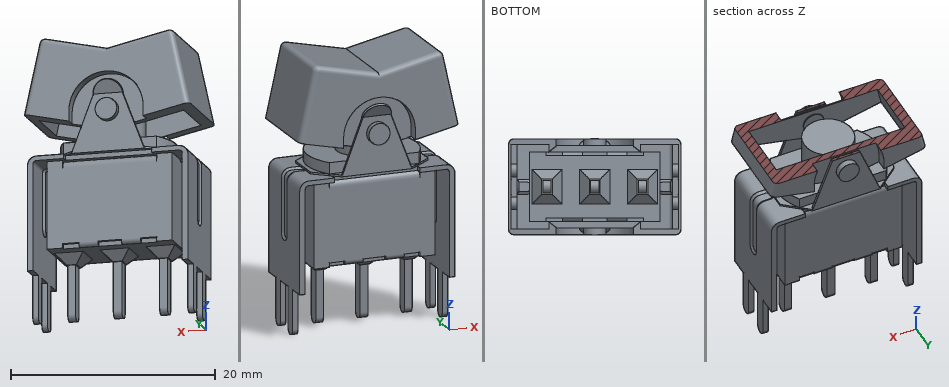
import cadquery as cq
import math


CAP_WIDTH = 9.38
CAP_TILT = math.radians(12.5)
CAP_BOTTOM_HALF = 8.435
CAP_BOTTOM_CENTER_Z = 2.28
CAP_TOP_Z = 11.72
CAP_ROUND = 0.55
CAP_WALL = 1.08
CAVITY_Y_MIN = -3.34
CAVITY_Y_MAX = 2.75
RECESS_RADIUS = 3.78
RECESS_FLOOR_Y = 3.54

PIVOT_Z = 4.13
PIVOT_DIAMETER = 2.2
NECK_DIAMETER = 5.2
NECK_TOP_Z = 5.0
NUT_RADIUS = 5.73
NUT_WIDTH = 6.52
NUT_TOP_Z = 1.34

PLATE_TOP_Z = 0.19
PLATE_HALF_LENGTH = 6.2
PLATE_END_HALF_WIDTH = 2.0
EAR_OUTER_Y = 4.05
EAR_THICKNESS = 0.26
EAR_FOOT_HALF = 3.7
EAR_BEND_HALF = 1.47
EAR_BEND_Z = 5.84
EAR_TIP_Z = 7.09
TAB_TIP_Y = 9.45 / 2
TAB_DIAMETER = 3.0

BRACKET_HALF_LENGTH = 8.17
BRACKET_WIDTH = 8.23
BRACKET_TOP_THICKNESS = 0.47
BRACKET_SIDE_THICKNESS = 0.58
BRACKET_BOTTOM_Z = -11.57
BEND_RADIUS = 0.95
NOTCH_HALF_LENGTH = 4.49
TAIL_PITCH = 3.2
TAIL_BOTTOM_Z = -16.33
BEAD_DEPTH = 0.2
BEAD_MOUTH_HALF = 0.73
BEAD_FLOOR_HALF = 0.45
BEAD_BOTTOM_Z = -6.43
BEAD_TOP_X = 6.6

BODY_HALF_LENGTH = 6.37
BODY_WIDTH = 6.8
BODY_BOTTOM_Z = -9.33
FRAME_HALF_LENGTH = 4.77
FRAME_ROUND = 0.75
CURL_INNER_X = 1.19
CURL_OUTER_X = 3.14
CURL_RADIUS = 0.45
FRAME_STEP_DEPTH = 0.35

PIN_PITCH = 4.67
PIN_WIDTH = 1.24
CENTER_PIN_THICKNESS = 0.87
END_PIN_THICKNESS = 0.8
PIN_BOTTOM_Z = -15.94
FOOT_LENGTH = 2.95
FOOT_WIDTH = 3.4
FOOT_HEIGHT = 1.02
FOOT_SLOPE = 43

OVERLAP = 0.3

BODY_TOP_Z = -BRACKET_TOP_THICKNESS
BODY_HALF_WIDTH = BODY_WIDTH / 2


def box(x_min, x_max, y_min, y_max, z_min, z_max):
    size = (x_max - x_min, y_max - y_min, z_max - z_min)
    return cq.Workplane("XY").box(*size, centered=False).translate((x_min, y_min, z_min))


def extrude_along_y(profile, y_min, y_max):
    """Extrude a closed XZ profile between two Y positions."""
    return profile.extrude(y_min - y_max).translate((0, y_min, 0))


def both_sides(shape, plane):
    return shape.union(shape.mirror(plane))


def centered_box(length, width, z_min, z_max):
    return box(-length / 2, length / 2, -width / 2, width / 2, z_min, z_max)


def cap_end_x(z, inset):
    """X of the leaning cap end at height z, moved inward by an inset."""
    return CAP_BOTTOM_HALF - inset - (z - cap_bottom_z(CAP_BOTTOM_HALF)) * math.tan(CAP_TILT)


def cap_bottom_z(x):
    return CAP_BOTTOM_CENTER_Z + x * math.tan(CAP_TILT)


def cap_profile(inset, corner_z):
    """Right half of the cap outline; the end is inset and its top corner is at corner_z."""
    bottom_half = CAP_BOTTOM_HALF - inset
    top_half = cap_end_x(corner_z, inset)
    points = [
        (0, CAP_BOTTOM_CENTER_Z),
        (bottom_half, cap_bottom_z(bottom_half)),
        (top_half, corner_z),
        (0, corner_z - top_half * math.tan(CAP_TILT)),
    ]
    return cq.Workplane("XZ").polyline(points).close()


def make_cap():
    corner_z = CAP_TOP_Z + CAP_ROUND * (math.cos(CAP_TILT) + math.sin(CAP_TILT) - 1)
    half = extrude_along_y(cap_profile(0, corner_z), -CAP_WIDTH / 2, CAP_WIDTH / 2)
    end_and_top_edges = cq.selectors.BoxSelector(
        (OVERLAP, -CAP_WIDTH, cap_bottom_z(CAP_BOTTOM_HALF) + OVERLAP),
        (CAP_BOTTOM_HALF, CAP_WIDTH, corner_z + OVERLAP),
    )
    half = half.edges(end_and_top_edges).fillet(CAP_ROUND)
    cavity = extrude_along_y(cap_profile(CAP_WALL, corner_z - CAP_WALL), CAVITY_Y_MIN, CAVITY_Y_MAX)
    cap = both_sides(half.cut(cavity), "YZ")
    return cap.cut(both_sides(cap_recess(), "XZ"))


def cap_recess():
    """Round-topped recess in the -Y side of the cap that clears an ear."""
    profile = (
        cq.Workplane("XZ")
        .moveTo(-RECESS_RADIUS, 0)
        .lineTo(-RECESS_RADIUS, PIVOT_Z)
        .threePointArc((0, PIVOT_Z + RECESS_RADIUS), (RECESS_RADIUS, PIVOT_Z))
        .lineTo(RECESS_RADIUS, 0)
        .close()
    )
    return extrude_along_y(profile, -CAP_WIDTH, -RECESS_FLOOR_Y)


def make_pivot_pin():
    """Pin from the recess floor through the -Y ear."""
    profile = cq.Workplane("XZ").center(0, PIVOT_Z).circle(PIVOT_DIAMETER / 2)
    return extrude_along_y(profile, -CAP_WIDTH / 2, -RECESS_FLOOR_Y + OVERLAP)


def make_neck_and_nut():
    neck = cq.Workplane("XY").circle(NECK_DIAMETER / 2).extrude(NECK_TOP_Z)
    nut = cq.Workplane("XY").circle(NUT_RADIUS).extrude(NUT_TOP_Z)
    nut = nut.intersect(centered_box(2 * NUT_RADIUS, NUT_WIDTH, 0, NUT_TOP_Z))
    return neck.union(nut)


def make_pivot_plate():
    """Thin plate under the nut; its corners are cut off from the ear feet to the ends."""
    points = [
        (PLATE_HALF_LENGTH, -PLATE_END_HALF_WIDTH),
        (PLATE_HALF_LENGTH, PLATE_END_HALF_WIDTH),
        (EAR_FOOT_HALF, EAR_OUTER_Y),
        (-EAR_FOOT_HALF, EAR_OUTER_Y),
        (-PLATE_HALF_LENGTH, PLATE_END_HALF_WIDTH),
        (-PLATE_HALF_LENGTH, -PLATE_END_HALF_WIDTH),
        (-EAR_FOOT_HALF, -EAR_OUTER_Y),
        (EAR_FOOT_HALF, -EAR_OUTER_Y),
    ]
    return cq.Workplane("XY").polyline(points).close().extrude(PLATE_TOP_Z)


def make_ear():
    """Tapered upright ear on the -Y side."""
    points = [
        (-EAR_FOOT_HALF, 0),
        (EAR_FOOT_HALF, 0),
        (EAR_BEND_HALF, EAR_BEND_Z),
        (-EAR_BEND_HALF, EAR_BEND_Z),
    ]
    profile = cq.Workplane("XZ").polyline(points).close()
    return extrude_along_y(profile, -EAR_OUTER_Y, -EAR_OUTER_Y + EAR_THICKNESS)


def make_ear_tab():
    """Round tab at the top of the ear, bent outward."""
    rise = EAR_TIP_Z - EAR_BEND_Z
    reach = TAB_TIP_Y - EAR_OUTER_Y
    length = math.hypot(rise, reach)
    radius = TAB_DIAMETER / 2
    tab_plane = cq.Plane(
        origin=(0, -EAR_OUTER_Y, EAR_BEND_Z),
        xDir=(1, 0, 0),
        normal=(0, -rise, -reach),
    )
    disc = cq.Workplane(tab_plane).center(0, length - radius).circle(radius).extrude(-EAR_THICKNESS)
    return disc.intersect(box(-radius, radius, -CAP_WIDTH, 0, EAR_BEND_Z - EAR_THICKNESS / 2, CAP_TOP_Z))


def bracket_shell():
    outer = centered_box(2 * BRACKET_HALF_LENGTH, BRACKET_WIDTH, BRACKET_BOTTOM_Z, 0)
    inner_length = 2 * (BRACKET_HALF_LENGTH - BRACKET_SIDE_THICKNESS)
    inner = centered_box(inner_length, BRACKET_WIDTH, BRACKET_BOTTOM_Z, -BRACKET_TOP_THICKNESS)
    outer = outer.edges("|Y and >Z").fillet(BEND_RADIUS)
    inner = inner.edges("|Y and >Z").fillet(BEND_RADIUS - BRACKET_SIDE_THICKNESS)
    shell = outer.cut(inner)
    notch = box(-NOTCH_HALF_LENGTH, NOTCH_HALF_LENGTH, -BRACKET_WIDTH, -BODY_HALF_WIDTH, BODY_TOP_Z, 0)
    return shell.cut(both_sides(notch, "XZ"))


def bead_cone(plane):
    """Tapered round end of the bead, sunk from the given plane."""
    mouth = cq.Workplane(plane).circle(BEAD_MOUTH_HALF)
    return mouth.workplane(offset=-BEAD_DEPTH).circle(BEAD_FLOOR_HALF).loft(ruled=True)


def bead(side_x, top_z, radius):
    """Tapered strip that runs up the +X side, around the bend and along the top."""
    path = (
        cq.Workplane("XZ")
        .moveTo(side_x, BEAD_BOTTOM_Z)
        .lineTo(side_x, top_z - radius)
        .radiusArc((side_x - radius, top_z), -radius)
        .lineTo(BEAD_TOP_X, top_z)
    )
    section_points = [
        (0, -BEAD_MOUTH_HALF),
        (0, BEAD_MOUTH_HALF),
        (-BEAD_DEPTH, BEAD_FLOOR_HALF),
        (-BEAD_DEPTH, -BEAD_FLOOR_HALF),
    ]
    section_plane = cq.Workplane("XY", origin=(side_x, 0, BEAD_BOTTOM_Z))
    strip = section_plane.polyline(section_points).close().sweep(path)
    lower_end = bead_cone(cq.Plane((side_x, 0, BEAD_BOTTOM_Z), xDir=(0, 1, 0), normal=(1, 0, 0)))
    upper_end = bead_cone(cq.Plane((BEAD_TOP_X, 0, top_z)))
    return strip.union(lower_end).union(upper_end)


def bracket_tail(y):
    """Round-ended mounting tail below the +X side of the bracket."""
    x_min = BRACKET_HALF_LENGTH - BRACKET_SIDE_THICKNESS
    return rounded_pin(x_min, BRACKET_HALF_LENGTH, y, TAIL_BOTTOM_Z, BRACKET_BOTTOM_Z)


def rounded_pin(x_min, x_max, y, z_min, z_max):
    """Flat pin whose lower end is a half circle across Y."""
    radius = PIN_WIDTH / 2
    profile = (
        cq.Workplane("YZ")
        .moveTo(y - radius, z_max)
        .lineTo(y - radius, z_min + radius)
        .threePointArc((y, z_min), (y + radius, z_min + radius))
        .lineTo(y + radius, z_max)
        .close()
    )
    return profile.extrude(x_max - x_min).translate((x_min, 0, 0))


def make_bracket():
    groove = bead(BRACKET_HALF_LENGTH, 0, BEND_RADIUS)
    ridge = bead(
        BRACKET_HALF_LENGTH - BRACKET_SIDE_THICKNESS,
        -BRACKET_TOP_THICKNESS,
        BEND_RADIUS - BRACKET_SIDE_THICKNESS,
    )
    bracket = bracket_shell().union(both_sides(ridge, "YZ")).cut(both_sides(groove, "YZ"))
    for y in (-TAIL_PITCH / 2, TAIL_PITCH / 2):
        bracket = bracket.union(both_sides(bracket_tail(y), "YZ"))
    return bracket


def frame_round():
    """Material removed to round the upper -Y edge of the housing between its ends."""
    corner = box(-FRAME_HALF_LENGTH, FRAME_HALF_LENGTH, -BODY_HALF_WIDTH, -BODY_HALF_WIDTH + FRAME_ROUND,
                 BODY_TOP_Z - FRAME_ROUND, BODY_TOP_Z)
    return corner.cut(frame_cylinder(-BODY_HALF_WIDTH + FRAME_ROUND, BODY_TOP_Z - FRAME_ROUND, FRAME_ROUND))


def frame_cylinder(y, z, radius):
    """Cylinder along X over the length of the frame."""
    circle = cq.Workplane("YZ").center(y, z).circle(radius)
    return circle.extrude(2 * FRAME_HALF_LENGTH).translate((-FRAME_HALF_LENGTH, 0, 0))


def frame_curl():
    """Curled part of the frame at the lower -Y edge of the housing, on the +X half."""
    y_min = -BODY_HALF_WIDTH
    z_max = BODY_BOTTOM_Z + CURL_RADIUS
    blank = box(CURL_INNER_X, CURL_OUTER_X, y_min, y_min + CURL_RADIUS, BODY_BOTTOM_Z, z_max)
    return blank.intersect(frame_cylinder(y_min + CURL_RADIUS, z_max, CURL_RADIUS))


def make_housing():
    body = centered_box(2 * BODY_HALF_LENGTH, BODY_WIDTH, BODY_BOTTOM_Z, BODY_TOP_Z)
    body = body.cut(both_sides(frame_round(), "XZ"))
    step = box(-FRAME_HALF_LENGTH, FRAME_HALF_LENGTH, -BODY_HALF_WIDTH, -BODY_HALF_WIDTH + FRAME_STEP_DEPTH,
               BODY_BOTTOM_Z, BODY_BOTTOM_Z + CURL_RADIUS)
    body = body.cut(both_sides(step, "XZ"))
    curls = both_sides(both_sides(frame_curl(), "YZ"), "XZ")
    return body.union(curls)


def make_terminal(x, thickness):
    foot = (
        cq.Workplane("XY", origin=(x, 0, BODY_BOTTOM_Z))
        .rect(FOOT_LENGTH, FOOT_WIDTH)
        .extrude(-FOOT_HEIGHT, taper=FOOT_SLOPE)
    )
    pin = rounded_pin(x - thickness / 2, x + thickness / 2, 0, PIN_BOTTOM_Z, BODY_BOTTOM_Z)
    return foot.union(pin)


ear = make_ear().union(make_ear_tab()).union(make_pivot_pin())

result = make_bracket().union(make_housing()).union(make_pivot_plate()).union(make_neck_and_nut())
result = result.union(both_sides(ear, "XZ")).union(make_cap())
result = result.union(make_terminal(0, CENTER_PIN_THICKNESS))
for terminal_x in (-PIN_PITCH, PIN_PITCH):
    result = result.union(make_terminal(terminal_x, END_PIN_THICKNESS))